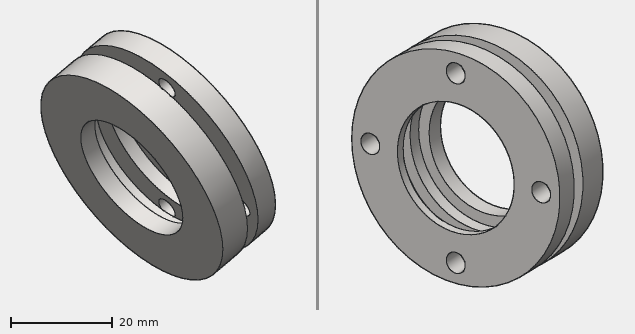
import cadquery as cq

outer_diameter = 50.0
bore_diameter = 28.0
recess_diameter = 33.0
recess_depth = 3.0

cover_thickness = 7.0
base_thickness = 5.0
ring_gap = 3.0
total_depth = cover_thickness + ring_gap + base_thickness

hole_diameter = 4.5
hole_count = 4
hole_circle_radius = 20.5

cover_front = -total_depth / 2
cover_back = cover_front + cover_thickness
base_front = cover_back + ring_gap


def disc(diameter, start_y, length):
    """Cylinder about the Y axis, running from start_y towards +Y."""
    plane = cq.Plane(origin=(0, start_y, 0), xDir=(1, 0, 0), normal=(0, 1, 0))
    return cq.Workplane(plane).circle(diameter / 2).extrude(length)


def recessed_ring(start_y, thickness, recess_start_y):
    """Bored ring with a wider round recess in one face."""
    ring = disc(outer_diameter, start_y, thickness)
    ring = ring.cut(disc(bore_diameter, start_y, thickness))
    return ring.cut(disc(recess_diameter, recess_start_y, recess_depth))


def base_holes():
    """Ring of round cutters through the full base thickness."""
    plane = cq.Plane(origin=(0, base_front, 0), xDir=(1, 0, 0), normal=(0, 1, 0))
    return (
        cq.Workplane(plane)
        .polarArray(hole_circle_radius, 0, 360, hole_count)
        .circle(hole_diameter / 2)
        .extrude(base_thickness)
    )


cover_ring = recessed_ring(cover_front, cover_thickness, cover_back - recess_depth)

base_ring = recessed_ring(base_front, base_thickness, base_front).cut(base_holes())

result = cq.Compound.makeCompound([cover_ring.val(), base_ring.val()])